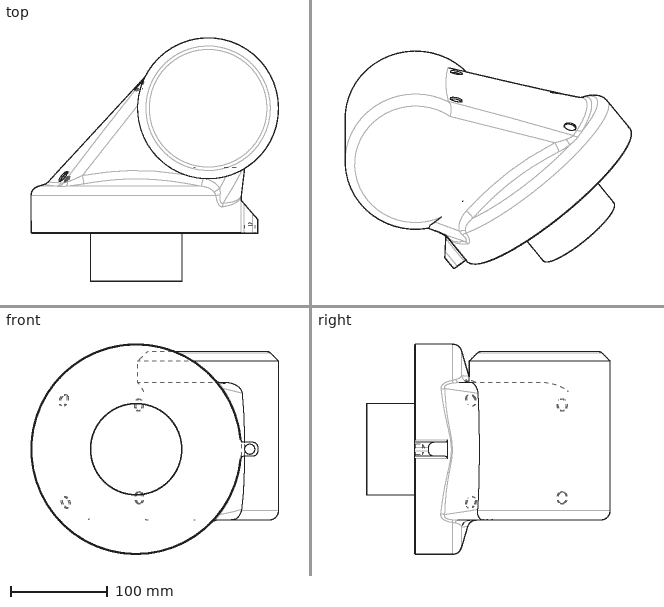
import cadquery as cq
import math


FLANGE_RADIUS = 109.0
FLANGE_SHOULDER_RADIUS = 90.0
FLANGE_SHOULDER_Y = 52.2
FLANGE_BACK_SLOPE = math.radians(16.2)
FLANGE_CORNER_FILLET = 10.0
FLANGE_FACE_CHAMFER = 1.0
SPIGOT_RADIUS = 47.5
SPIGOT_LENGTH = 50.0
SPIGOT_CHAMFER = 0.5

HOUSING_RADIUS = 73.0
HOUSING_X = 74.5
HOUSING_Y = 129.5
HOUSING_BOTTOM_Z = -73.5
HOUSING_TOP_Z = 101.2
HOUSING_TOP_CHAMFER = 10.0
HOUSING_TOP_FILLET = 5.0
HOUSING_BOTTOM_FILLET = 10.0

NECK_TOP_Z = 69.0
NECK_BOTTOM_Z = HOUSING_BOTTOM_Z
NECK_MIDDLE_Z = (NECK_TOP_Z + NECK_BOTTOM_Z) / 2
SLANT_START_Y = 34.0
SIDE_START_Y = 26.0
SIDE_START_INSET = 1.5
SLANT_INNER_X = 60.0
NECK_EDGE_FILLET = 12.0
NECK_ROOT_FILLET = 9.0
NECK_ROOT_MIN_Y = 35.0
NECK_ROOT_MAX_Y = 59.0
NECK_ROOT_MAX_X = 90.0
SLANT_END_X = 12.8
SLANT_END_Y = 166.0
SLANT_END_BOW = 0.2
SIDE_END_X = 112.5
SIDE_END_Y = 68.0
SIDE_END_BOW = 2.0

SCREW_DIAMETER = 12.5
SCREW_DEPTH = 2.0
SCREW_NEAR_Y = 59.0
SCREW_NEAR_SPREAD = 53.2
SCREW_FAR_Y = 153.4
SCREW_FAR_SPREAD = 48.1
DRILL_POINT_ANGLE = math.radians(118)

LUG_HOLE_X = 117.6
LUG_ROOT_X = FLANGE_RADIUS - 4.0
LUG_END_X = LUG_HOLE_X + 8.4
LUG_WIDTH = 14.5
LUG_CORNER_RADIUS = 5.5
LUG_ROOT_FILLET = 3.0
LUG_TIP_HEIGHT = 14.3
LUG_ROOT_HEIGHT = 34.0
LUG_HOLE_DIAMETER = 10.5
LUG_HOLE_DEPTH = 8.0


def make_flange():
    """Disc with a shallow conical back, plus the spigot on its flat face."""
    slope = math.tan(FLANGE_BACK_SLOPE)
    rim_y = FLANGE_SHOULDER_Y - (FLANGE_RADIUS - FLANGE_SHOULDER_RADIUS) * slope
    apex_y = FLANGE_SHOULDER_Y + FLANGE_SHOULDER_RADIUS * slope
    disc = (
        cq.Workplane("XY")
        .moveTo(0, 0)
        .lineTo(FLANGE_RADIUS, 0)
        .lineTo(FLANGE_RADIUS, rim_y)
        .lineTo(0, apex_y)
        .close()
        .revolve(360, (0, 0, 0), (0, 1, 0))
    )
    rim = cq.selectors.BoxSelector(
        (-2 * FLANGE_RADIUS, rim_y - 1, -2 * FLANGE_RADIUS),
        (2 * FLANGE_RADIUS, rim_y + 1, 2 * FLANGE_RADIUS),
    )
    disc = disc.edges(rim).fillet(FLANGE_CORNER_FILLET)
    disc = disc.faces("<Y").chamfer(FLANGE_FACE_CHAMFER)
    spigot = (
        cq.Workplane("XZ")
        .circle(SPIGOT_RADIUS)
        .extrude(SPIGOT_LENGTH)
        .faces("<Y")
        .chamfer(SPIGOT_CHAMFER)
    )
    return disc.union(spigot)


def make_housing():
    """Upright cylinder, bevelled and rounded at the top, rounded at the bottom."""
    return (
        cq.Workplane("XY", origin=(HOUSING_X, HOUSING_Y, HOUSING_BOTTOM_Z))
        .circle(HOUSING_RADIUS)
        .extrude(HOUSING_TOP_Z - HOUSING_BOTTOM_Z)
        .faces(">Z")
        .chamfer(HOUSING_TOP_CHAMFER)
        .faces(">Z")
        .edges()
        .fillet(HOUSING_TOP_FILLET)
        .faces("<Z")
        .edges()
        .fillet(HOUSING_BOTTOM_FILLET)
    )


def bowed_section(y, inner_x, crest_x, bow_radius):
    """Wire at height y: flat top, bottom and inner side, with one side bowed out to crest_x."""
    outward = math.copysign(1, crest_x - inner_x)

    def side_x(z):
        return crest_x - outward * (bow_radius - math.sqrt(bow_radius**2 - z**2))

    return (
        cq.Workplane("XZ", origin=(0, y, 0))
        .moveTo(inner_x, NECK_BOTTOM_Z)
        .lineTo(side_x(NECK_BOTTOM_Z), NECK_BOTTOM_Z)
        .threePointArc((crest_x, 0), (side_x(NECK_TOP_Z), NECK_TOP_Z))
        .lineTo(inner_x, NECK_TOP_Z)
        .close()
        .val()
    )


def neck_half(inner_x, start_radius, start_y, end_x, end_y, end_bow):
    """Loft from an arc concentric with the flange to a flatter bow, outer edges rounded."""
    outward = math.copysign(1, end_x - inner_x)
    end_radius = (NECK_TOP_Z**2 + end_bow**2) / (2 * end_bow)
    start = bowed_section(start_y, inner_x, outward * start_radius, start_radius)
    end = bowed_section(end_y, inner_x, end_x, end_radius)
    half = cq.Workplane(obj=cq.Solid.makeLoft([start, end], True))
    outermost = ">X" if outward > 0 else "<X"
    top_edge = half.faces(">Z").edges(outermost)
    bottom_edge = half.faces("<Z").edges(outermost)
    return top_edge.add(bottom_edge).fillet(NECK_EDGE_FILLET)


def make_neck():
    """Slanted half reaching back to the housing, and the short half flush with the rim."""
    slant = neck_half(
        SLANT_INNER_X, FLANGE_RADIUS, SLANT_START_Y, SLANT_END_X, SLANT_END_Y, SLANT_END_BOW
    )
    side = neck_half(
        0, FLANGE_RADIUS - SIDE_START_INSET, SIDE_START_Y, SIDE_END_X, SIDE_END_Y, SIDE_END_BOW
    )
    return slant.union(side)


def fillet_neck_root(body):
    """Round the corner where the neck rises out of the conical flange back."""
    root_zone = cq.selectors.BoxSelector(
        (-FLANGE_RADIUS, NECK_ROOT_MIN_Y, NECK_BOTTOM_Z - 1),
        (NECK_ROOT_MAX_X, NECK_ROOT_MAX_Y, NECK_TOP_Z + 1),
        boundingbox=True,
    )
    return body.edges(root_zone).fillet(NECK_ROOT_FILLET)


def drill(point, inward, diameter, depth):
    """Blind drilled hole with a conical end, entering at point along inward."""
    radius = diameter / 2
    tip = depth + radius / math.tan(DRILL_POINT_ANGLE / 2)
    clearance = diameter
    profile = (
        cq.Workplane("XZ")
        .moveTo(0, -clearance)
        .lineTo(radius, -clearance)
        .lineTo(radius, depth)
        .lineTo(0, tip)
        .close()
        .revolve(360, (0, 0, 0), (0, 1, 0))
        .val()
    )
    return profile.moved(cq.Location(cq.Plane(origin=point, normal=inward)))


def make_lug():
    """Small ear on the rim with a flared root, rounded corners and a sloping back."""
    half_width = LUG_WIDTH / 2
    flare_z = half_width + LUG_ROOT_FILLET
    flare_x = math.sqrt(FLANGE_RADIUS**2 - flare_z**2)
    flank_x = flare_x + LUG_ROOT_FILLET
    outline = (
        cq.Workplane("XZ")
        .moveTo(LUG_ROOT_X, -flare_z)
        .lineTo(flare_x, -flare_z)
        .radiusArc((flank_x, -half_width), LUG_ROOT_FILLET)
        .lineTo(LUG_END_X, -half_width)
        .lineTo(LUG_END_X, half_width)
        .lineTo(flank_x, half_width)
        .radiusArc((flare_x, flare_z), LUG_ROOT_FILLET)
        .lineTo(LUG_ROOT_X, flare_z)
        .close()
        .extrude(-LUG_ROOT_HEIGHT)
        .faces(">X")
        .edges("|Y")
        .fillet(LUG_CORNER_RADIUS)
    )
    sloping_side = (
        cq.Workplane("XY")
        .moveTo(LUG_ROOT_X, 0)
        .lineTo(LUG_END_X, 0)
        .lineTo(LUG_END_X, LUG_TIP_HEIGHT)
        .lineTo(FLANGE_RADIUS, LUG_ROOT_HEIGHT)
        .lineTo(LUG_ROOT_X, LUG_ROOT_HEIGHT)
        .close()
        .extrude(flare_z, both=True)
    )
    return outline.intersect(sloping_side)


def slant_screw_hole(y, z):
    """Hole drilled square to the slanted face at the given height and depth position."""
    run = SLANT_END_Y - SLANT_START_Y
    blend = (y - SLANT_START_Y) / run
    rim_x = -math.sqrt(FLANGE_RADIUS**2 - z**2)
    x = rim_x + blend * (SLANT_END_X - rim_x)
    slope_y = (SLANT_END_X - rim_x) / run
    slope_z = (1 - blend) * z / -rim_x
    return drill((x, y, z), (1, -slope_y, -slope_z), SCREW_DIAMETER, SCREW_DEPTH)


body = make_flange().union(make_neck())
body = fillet_neck_root(body)
body = body.union(make_housing())
body = body.union(make_lug())
body = body.cut(drill((LUG_HOLE_X, 0, 0), (0, 1, 0), LUG_HOLE_DIAMETER, LUG_HOLE_DEPTH))
for hole_y, spread in ((SCREW_NEAR_Y, SCREW_NEAR_SPREAD), (SCREW_FAR_Y, SCREW_FAR_SPREAD)):
    for side in (-1, 1):
        body = body.cut(slant_screw_hole(hole_y, NECK_MIDDLE_Z + side * spread))

result = body